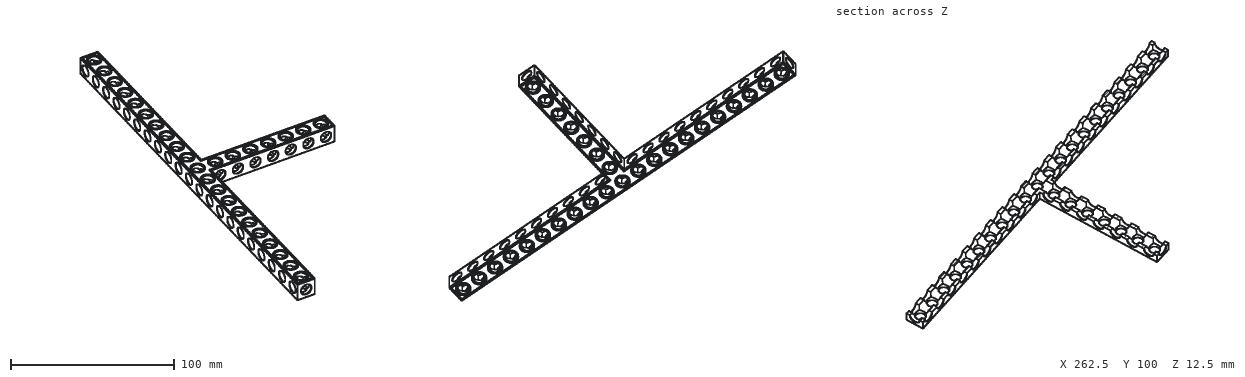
import cadquery as cq

PITCH = 12.5
BAR_CELLS = 21
STEM_CELLS = 7

HOLE_DIAMETER = 7.0
COLLAR_DIAMETER = 9.2
WALL = (COLLAR_DIAMETER - HOLE_DIAMETER) / 2
POCKET_DEPTH = 0.2
EDGE_BREAK = 0.3

HALF = PITCH / 2
HOLE_RADIUS = HOLE_DIAMETER / 2
BAR_LENGTH = BAR_CELLS * PITCH
STEM_LENGTH = STEM_CELLS * PITCH

BAR_POSITIONS = [(i - (BAR_CELLS - 1) / 2) * PITCH for i in range(BAR_CELLS)]
STEM_POSITIONS = [(i + 1) * PITCH for i in range(STEM_CELLS)]
VERTICAL_AXES = [(x, 0) for x in BAR_POSITIONS] + [(0, y) for y in STEM_POSITIONS]


def tee_prism(inset, bottom, height):
    """Tee-shaped prism whose outline lies `inset` inside the outer walls."""
    width = PITCH - 2 * inset
    stem_tip = HALF + STEM_LENGTH - inset
    plane = cq.Workplane("XY").workplane(offset=bottom)
    bar = plane.rect(BAR_LENGTH - 2 * inset, width).extrude(height)
    stem = plane.center(0, stem_tip / 2).rect(width, stem_tip).extrude(height)
    return bar.union(stem)


def pocket(bottom):
    """Shallow tee-shaped pocket that leaves a round collar standing around each vertical hole."""
    collars = (
        cq.Workplane("XY")
        .workplane(offset=bottom)
        .pushPoints(VERTICAL_AXES)
        .circle(COLLAR_DIAMETER / 2)
        .extrude(POCKET_DEPTH)
    )
    return tee_prism(WALL, bottom, POCKET_DEPTH).cut(collars)


def drill(body, start, direction, length):
    """Through hole from `start`, with both rims bevelled."""
    axis = cq.Vector(*direction)
    entry = cq.Vector(*start)
    rim_radius = HOLE_RADIUS + EDGE_BREAK
    hole = cq.Solid.makeCylinder(HOLE_RADIUS, length, entry, axis)
    entry_bevel = cq.Solid.makeCone(rim_radius, HOLE_RADIUS, EDGE_BREAK, entry, axis)
    exit_bevel = cq.Solid.makeCone(rim_radius, HOLE_RADIUS, EDGE_BREAK, entry + axis * length, -axis)
    return body.cut(cq.Workplane(hole.fuse(entry_bevel, exit_bevel)))


def drill_vertical_holes(body):
    """Holes along Z through every cell."""
    for x, y in VERTICAL_AXES:
        body = drill(body, (x, y, -HALF), (0, 0, 1), PITCH)
    return body


def drill_cross_holes(body):
    """Holes along Y through the bar and along X through the stem; the middle one runs the whole stem."""
    for x in BAR_POSITIONS:
        length = PITCH + STEM_LENGTH if x == 0 else PITCH
        body = drill(body, (x, -HALF, 0), (0, 1, 0), length)
    for y in STEM_POSITIONS:
        body = drill(body, (-HALF, y, 0), (1, 0, 0), PITCH)
    return body


def drill_lengthwise_bore(body):
    """Bore along X through the whole bar."""
    return drill(body, (-BAR_LENGTH / 2, 0, 0), (1, 0, 0), BAR_LENGTH)


tee = tee_prism(0, -HALF, PITCH)
tee = tee.edges(">X or <X or >Y or <Y or >Z or <Z").chamfer(EDGE_BREAK)
tee = tee.cut(pocket(HALF - POCKET_DEPTH)).cut(pocket(-HALF))
tee = drill_vertical_holes(tee)
tee = drill_cross_holes(tee)
result = drill_lengthwise_bore(tee)